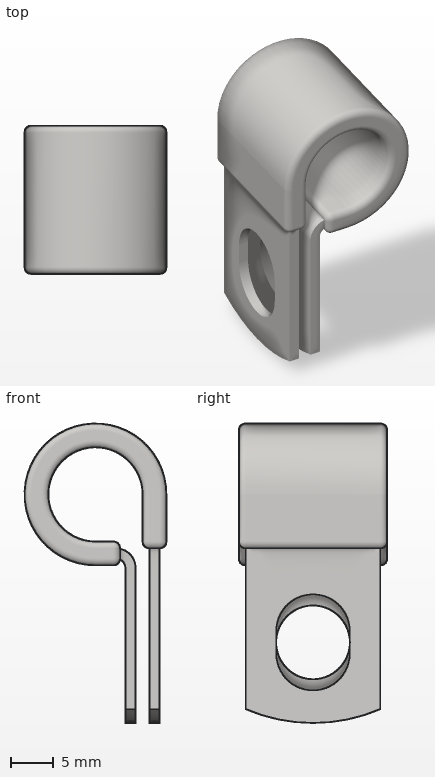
import cadquery as cq
import math

bore_radius = 5.53
strap_thickness = 1.225
cushion_thickness = 0.8
strap_width = 15.86
long_leg_cushion = 6.35
short_leg_cushion = 2.9
leg_gap = 2 * cushion_thickness
bend_inner_radius = 1.1
hole_diameter = 8.65
slot_length = 11.3
hole_z = -17.4
tab_bottom_z = -26.9
tab_end_radius = 20.0

cushion_width = strap_width + 2 * cushion_thickness
strap_inner_radius = bore_radius + cushion_thickness
strap_outer_radius = strap_inner_radius + strap_thickness
cushion_outer_radius = strap_outer_radius + cushion_thickness
bend_outer_radius = bend_inner_radius + strap_thickness
short_tab_outer_x = strap_inner_radius - leg_gap
short_tab_inner_x = short_tab_outer_x - strap_thickness
bend_center_x = short_tab_outer_x - bend_outer_radius
bend_center_z = -strap_inner_radius - bend_outer_radius


def point_on_circle(center_x, center_z, radius, angle_degrees):
    """Point on a circle in the XZ plane, measured from +X towards +Z."""
    angle = math.radians(angle_degrees)
    return (center_x + radius * math.cos(angle), center_z + radius * math.sin(angle))


def extrude_across(profile, width):
    """Extrude an XZ profile symmetrically about Y = 0."""
    return profile.close().extrude(width / 2, both=True)


def is_cushion_end_corner(edge):
    """True for edges along Y at the cushion ends, false for the seams where arcs meet straights."""
    center = edge.Center()
    return center.x > cushion_thickness and center.z < -cushion_thickness


def make_cushion():
    """Cover around the loop: a three-quarter ring with two straight ends, rounded all over."""
    inner = bore_radius
    outer = cushion_outer_radius
    profile = (
        cq.Workplane("XZ")
        .moveTo(inner, -long_leg_cushion)
        .lineTo(inner, 0)
        .threePointArc(point_on_circle(0, 0, inner, 135), (0, -inner))
        .lineTo(short_leg_cushion, -inner)
        .lineTo(short_leg_cushion, -outer)
        .lineTo(0, -outer)
        .threePointArc(point_on_circle(0, 0, outer, 135), (outer, 0))
        .lineTo(outer, -long_leg_cushion)
    )
    body = extrude_across(profile, cushion_width)
    side_edges = body.faces("<Y or >Y").edges().vals()
    corner_edges = body.edges("|Y").filter(is_cushion_end_corner).vals()
    return body.newObject(side_edges + corner_edges).fillet(cushion_thickness)


def make_straight_tab():
    """Tab that continues straight down from the +X side of the loop."""
    profile = (
        cq.Workplane("XZ")
        .moveTo(strap_inner_radius, 0)
        .lineTo(strap_outer_radius, 0)
        .lineTo(strap_outer_radius, tab_bottom_z)
        .lineTo(strap_inner_radius, tab_bottom_z)
    )
    return extrude_across(profile, strap_width)


def make_bent_tab():
    """Tab that leaves the lower end of the loop and bends down beside the straight tab."""
    profile = (
        cq.Workplane("XZ")
        .moveTo(0, -strap_inner_radius)
        .lineTo(bend_center_x, -strap_inner_radius)
        .threePointArc(
            point_on_circle(bend_center_x, bend_center_z, bend_outer_radius, 45),
            (short_tab_outer_x, bend_center_z),
        )
        .lineTo(short_tab_outer_x, tab_bottom_z)
        .lineTo(short_tab_inner_x, tab_bottom_z)
        .lineTo(short_tab_inner_x, bend_center_z)
        .threePointArc(
            point_on_circle(bend_center_x, bend_center_z, bend_inner_radius, 45),
            (bend_center_x, -strap_outer_radius),
        )
        .lineTo(0, -strap_outer_radius)
    )
    return extrude_across(profile, strap_width)


def cut_round_hole(tab):
    """Cut the round bolt hole through a tab along X."""
    hole = cq.Workplane("YZ").center(0, hole_z).circle(hole_diameter / 2).extrude(strap_outer_radius)
    return tab.cut(hole)


def cut_slot(tab):
    """Cut the vertical bolt slot, as wide as the round hole, through a tab along X."""
    slot = (
        cq.Workplane("YZ")
        .center(0, hole_z)
        .slot2D(slot_length, hole_diameter, 90)
        .extrude(strap_outer_radius)
    )
    return tab.cut(slot)


def make_tab_outline():
    """Block along X with the strap width, bounded below by the rounded tab end."""
    half_width = strap_width / 2
    end_rise = tab_end_radius - math.sqrt(tab_end_radius**2 - half_width**2)
    corner_z = tab_bottom_z + end_rise
    return (
        cq.Workplane("YZ")
        .moveTo(-half_width, 0)
        .lineTo(-half_width, corner_z)
        .threePointArc((0, tab_bottom_z), (half_width, corner_z))
        .lineTo(half_width, 0)
        .close()
        .extrude(strap_outer_radius)
    )


straight_tab = cut_slot(make_straight_tab())
bent_tab = cut_round_hole(make_bent_tab())
tabs = straight_tab.union(bent_tab).intersect(make_tab_outline())
result = make_cushion().union(tabs)